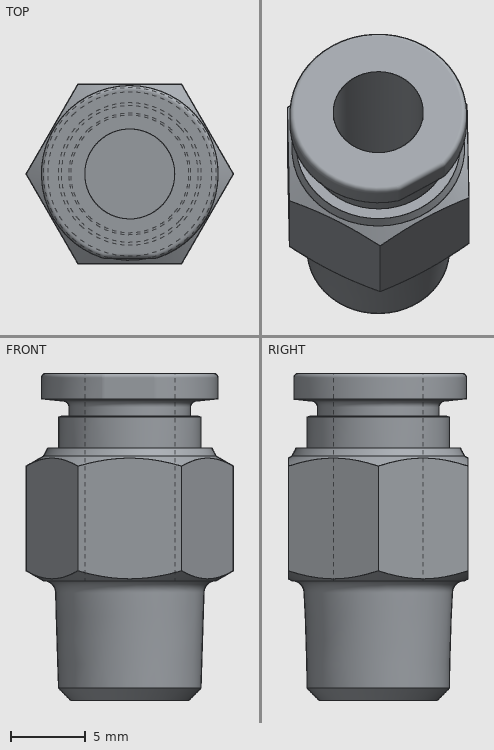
import cadquery as cq
import math

total_height = 21.85
thread_chamfer_top = 0.83
hex_bottom = 8.0
hex_top = 16.32
shoulder_top = 16.87
collar_top = 18.99
button_rim_bottom = 20.15

across_flats = 12.0
across_corners = across_flats / math.cos(math.radians(30))
hex_face_radius = 5.77
hex_chamfer_angle = 30.0

thread_start_radius = 4.76
thread_end_radius = thread_start_radius - thread_chamfer_top
thread_taper = 1 / 32
neck_round = 0.79
thread_top = hex_bottom - neck_round
thread_top_radius = thread_start_radius + thread_taper * (thread_top - thread_chamfer_top)

shoulder_top_radius = 5.48
collar_radius = 4.76
neck_radius = 4.06
collar_chamfer_width = 0.2
collar_chamfer_drop = 0.07
button_neck_round = 0.4
button_radius = 5.9
button_top_round = 0.3
underside_drop = 0.15
underside_bottom = button_rim_bottom - underside_drop
button_flat_distance = 5.64
button_corner_round = 0.6

bore_diameter = 6.0
bore_depth = total_height - hex_bottom


def turn(profile):
    """Full revolution of a closed half-profile about the Z axis."""
    return profile.revolve(360, (0, 0, 0), (0, 1, 0))


def make_thread_end():
    """Chamfered tapered shank with a concave round up to the hexagon face."""
    arc_reach = neck_round * math.sin(math.radians(45))
    round_centre_radius = thread_top_radius + neck_round
    profile = (
        cq.Workplane("XZ")
        .lineTo(thread_end_radius, 0)
        .lineTo(thread_start_radius, thread_chamfer_top)
        .lineTo(thread_top_radius, thread_top)
        .threePointArc(
            (round_centre_radius - arc_reach, thread_top + arc_reach),
            (round_centre_radius, hex_bottom),
        )
        .lineTo(0, hex_bottom)
        .close()
    )
    return turn(profile)


def make_hex_body():
    """Hexagon with its flats facing +Y and -Y and its corners turned to a cone at both ends."""
    prism = (
        cq.Workplane("XY", origin=(0, 0, hex_bottom))
        .polygon(6, across_corners)
        .extrude(hex_top - hex_bottom)
    )
    cone_radius = across_corners
    cone_drop = (cone_radius - hex_face_radius) * math.tan(math.radians(hex_chamfer_angle))
    profile = (
        cq.Workplane("XZ")
        .moveTo(0, hex_bottom)
        .lineTo(hex_face_radius, hex_bottom)
        .lineTo(cone_radius, hex_bottom + cone_drop)
        .lineTo(cone_radius, hex_top - cone_drop)
        .lineTo(hex_face_radius, hex_top)
        .lineTo(0, hex_top)
        .close()
    )
    return prism.intersect(turn(profile))


def make_collar():
    """Conical shoulder and the collar above it."""
    profile = (
        cq.Workplane("XZ")
        .moveTo(0, hex_top)
        .lineTo(hex_face_radius, hex_top)
        .lineTo(shoulder_top_radius, shoulder_top)
        .lineTo(collar_radius, shoulder_top)
        .lineTo(collar_radius, collar_top - collar_chamfer_drop)
        .lineTo(collar_radius - collar_chamfer_width, collar_top)
        .lineTo(0, collar_top)
        .close()
    )
    return turn(profile)


def make_button():
    """Release button: a disc with one flat on -Y, on a slim neck that flares into its underside."""
    arc_reach = button_neck_round * math.sin(math.radians(45))
    round_centre_radius = neck_radius + button_neck_round
    round_start = underside_bottom - button_neck_round
    profile = (
        cq.Workplane("XZ")
        .moveTo(0, collar_top)
        .lineTo(neck_radius, collar_top)
        .lineTo(neck_radius, round_start)
        .threePointArc(
            (round_centre_radius - arc_reach, round_start + arc_reach),
            (round_centre_radius, underside_bottom),
        )
        .lineTo(button_radius, button_rim_bottom)
        .lineTo(button_radius, total_height)
        .lineTo(0, total_height)
        .close()
    )
    disc = turn(profile)
    keep_depth = button_flat_distance + button_radius
    keep = cq.Workplane("XY", origin=(0, keep_depth / 2 - button_flat_distance, 0)).box(
        2 * button_radius, keep_depth, 2 * total_height
    )
    disc = disc.intersect(keep)
    flat_corners = cq.selectors.BoxSelector(
        (-button_radius / 2, -button_radius, 0),
        (button_radius / 2, -button_radius / 2, 2 * total_height),
    )
    disc = disc.edges("|Z").edges(flat_corners).fillet(button_corner_round)
    return disc.faces(">Z").edges().fillet(button_top_round)


def make_bore():
    """Tube socket, open at the button and closed level with the underside of the hexagon."""
    return cq.Workplane("XY", origin=(0, 0, total_height)).circle(bore_diameter / 2).extrude(-bore_depth)


fitting = make_thread_end().union(make_hex_body()).union(make_collar()).union(make_button())
result = fitting.cut(make_bore())